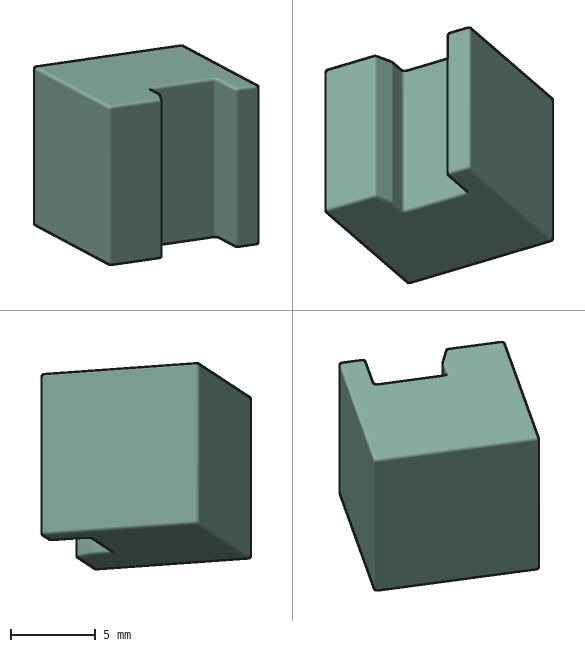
import cadquery as cq

width = 9.85
depth = 10.0
height = 9.8
edge_radius = 0.2

notch_floor_x = 2.42
notch_back_y = 3.4
notch_front_y = -1.0

jaw_setback = 0.05
lead_in_start_x = 3.7
lead_in_end_y = -1.5

left = -width / 2
right = width / 2
front = -depth / 2
back = depth / 2
jaw_end_x = right - jaw_setback

outline = [
    (left, front),
    (jaw_end_x, front),
    (jaw_end_x, lead_in_end_y),
    (lead_in_start_x, notch_front_y),
    (notch_floor_x, notch_front_y),
    (notch_floor_x, notch_back_y),
    (right, notch_back_y),
    (right, back),
    (left, back),
]

block = (
    cq.Workplane("XY")
    .workplane(offset=-height / 2)
    .polyline(outline)
    .close()
    .extrude(height)
)

result = block.edges().fillet(edge_radius)